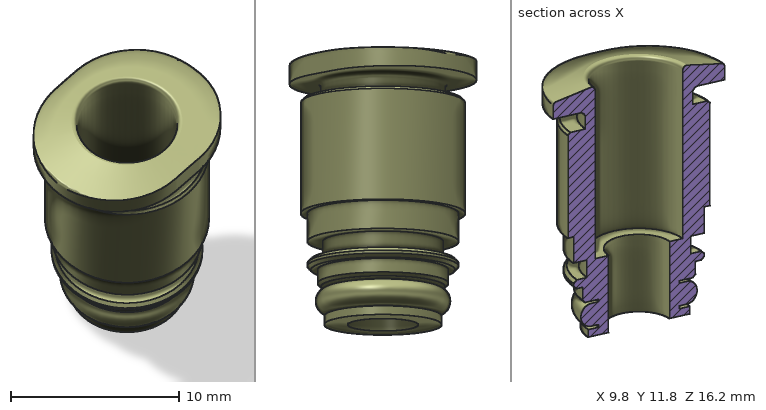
import cadquery as cq
import math

foot_top = 0.52
seal_level = 1.43
barb_bottom = 2.3
ring_bottom = 3.32
ring_top = 3.92
collar_bottom = 5.02
body_bottom = 6.72
body_top = 13.58
head_bottom = 14.66
total_height = 16.2

foot_diameter = 7.0
seal_groove_diameter = 5.6
seal_diameter = 8.04
barb_diameter = 7.8
collar_diameter = 9.0
lower_neck_diameter = 7.2
body_diameter = 9.8
upper_neck_diameter = 7.4
head_length = 11.8
head_width = body_diameter

hole_diameter = 4.2
socket_diameter = 6.0
socket_floor = collar_bottom

seal_cord_diameter = 1.5
barb_chamfer = 0.2
ring_chamfer = 0.21
body_chamfer = 0.16
head_root_fillet = 0.37
head_rim_fillet = 0.21
socket_lip_fillet = 0.3
head_slope = math.radians(10)


def solid_of_revolution(profile):
    """Turn a closed profile of radius and height about the Z axis."""
    return profile.close().revolve(360, (0, 0, 0), (0, 1, 0))


def cylinder(diameter, bottom, top):
    return cq.Workplane("XY").workplane(offset=bottom).circle(diameter / 2).extrude(top - bottom)


def make_stem():
    """Stepped outside of the part below the oval head."""
    foot = cylinder(foot_diameter, 0, foot_top)
    seal_groove = cylinder(seal_groove_diameter, foot_top, barb_bottom)
    barb = cylinder(barb_diameter, barb_bottom, ring_bottom).faces("<Z").chamfer(barb_chamfer)
    ring = cylinder(collar_diameter, ring_bottom, ring_top).edges().chamfer(ring_chamfer)
    lower_neck = cylinder(lower_neck_diameter, ring_top, collar_bottom)
    collar = cylinder(collar_diameter, collar_bottom, body_bottom)
    body = cylinder(body_diameter, body_bottom, body_top).faces(">Z").chamfer(body_chamfer)
    stem = foot
    for section in (seal_groove, barb, ring, lower_neck, collar, body):
        stem = stem.union(section)
    return stem


def make_upper_neck():
    """Neck that flares into the underside of the head."""
    radius = upper_neck_diameter / 2
    profile = (
        cq.Workplane("XZ")
        .moveTo(0, body_top)
        .lineTo(radius, body_top)
        .lineTo(radius, head_bottom - head_root_fillet)
        .tangentArcPoint((radius + head_root_fillet, head_bottom), relative=False)
        .lineTo(0, head_bottom)
    )
    return solid_of_revolution(profile)


def make_head():
    """Shallow cone with a rounded rim, trimmed to an oval outline."""
    radius = head_length / 2
    flat_radius = socket_diameter / 2 + socket_lip_fillet
    rim_height = total_height - (radius - flat_radius) * math.tan(head_slope)
    setback = head_rim_fillet * math.tan((math.pi / 2 - head_slope) / 2)
    rounding_end = (
        radius - setback * math.cos(head_slope),
        rim_height + setback * math.sin(head_slope),
    )
    profile = (
        cq.Workplane("XZ")
        .moveTo(0, head_bottom)
        .lineTo(radius, head_bottom)
        .lineTo(radius, rim_height - setback)
        .tangentArcPoint(rounding_end, relative=False)
        .lineTo(flat_radius, total_height)
        .lineTo(0, total_height)
    )
    oval = (
        cq.Workplane("XY")
        .workplane(offset=head_bottom)
        .slot2D(head_length, head_width, 90)
        .extrude(total_height - head_bottom)
    )
    return solid_of_revolution(profile).intersect(oval)


def make_seal():
    """Seal with a half-round rim and flat faces, seated in the groove above the foot."""
    cord_radius = seal_cord_diameter / 2
    cord_center = seal_diameter / 2 - cord_radius
    profile = (
        cq.Workplane("XZ")
        .moveTo(0, seal_level - cord_radius)
        .lineTo(cord_center, seal_level - cord_radius)
        .threePointArc((seal_diameter / 2, seal_level), (cord_center, seal_level + cord_radius))
        .lineTo(0, seal_level + cord_radius)
    )
    return solid_of_revolution(profile)


def make_bore():
    """Through hole and wide socket with a rounded mouth."""
    hole_radius = hole_diameter / 2
    socket_radius = socket_diameter / 2
    lip_offset = socket_lip_fillet * (1 - math.sqrt(0.5))
    profile = (
        cq.Workplane("XZ")
        .lineTo(hole_radius, 0)
        .lineTo(hole_radius, socket_floor)
        .lineTo(socket_radius, socket_floor)
        .lineTo(socket_radius, total_height - socket_lip_fillet)
        .threePointArc(
            (socket_radius + lip_offset, total_height - lip_offset),
            (socket_radius + socket_lip_fillet, total_height),
        )
        .lineTo(0, total_height)
    )
    return solid_of_revolution(profile)


result = make_stem().union(make_upper_neck()).union(make_head()).union(make_seal()).cut(make_bore())